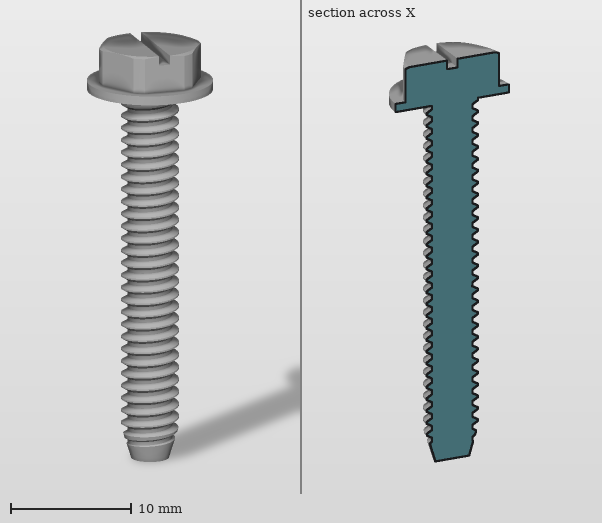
import cadquery as cq
import math

total_length = 35.59
head_height = 3.84
flange_diameter = 10.52
flange_thickness = 0.77
hex_across_flats = 7.94
hex_corner_diameter = 8.66
hex_top_diameter = 7.9
hex_chamfer_angle = 18.0
slot_width = 0.95
slot_depth = 0.77

shank_length = total_length - head_height
major_diameter = 4.83
minor_diameter = 3.76
thread_pitch = 25.4 / 24
thread_angle = 60.0
crest_width = thread_pitch / 8
crest_depth_below_flange = 0.91
end_allowance = 4.0
root_overlap = 0.15
tip_diameter = 3.16
tip_half_angle = 17.2


def make_flange():
    return cq.Workplane("XY").circle(flange_diameter / 2).extrude(flange_thickness)


def make_hex():
    """Hexagon with flats facing +X and -X, rounded corners and a chamfered top."""
    sharp_corner_diameter = hex_across_flats / math.cos(math.pi / 6)
    hexagon = (
        cq.Workplane("XY")
        .polygon(6, sharp_corner_diameter)
        .extrude(head_height)
        .rotate((0, 0, 0), (0, 0, 1), 30)
    )
    corner_limit = cq.Workplane("XY").circle(hex_corner_diameter / 2).extrude(head_height)
    chamfer_run = (sharp_corner_diameter - hex_top_diameter) / 2
    chamfer_drop = chamfer_run * math.tan(math.radians(hex_chamfer_angle))
    chamfer_envelope = (
        cq.Workplane("XZ")
        .moveTo(0, 0)
        .lineTo(sharp_corner_diameter / 2, 0)
        .lineTo(sharp_corner_diameter / 2, head_height - chamfer_drop)
        .lineTo(hex_top_diameter / 2, head_height)
        .lineTo(0, head_height)
        .close()
        .revolve(360, (0, 0, 0), (0, 1, 0))
    )
    return hexagon.intersect(corner_limit).intersect(chamfer_envelope)


def make_slot():
    return (
        cq.Workplane("XY")
        .workplane(offset=head_height - slot_depth)
        .rect(flange_diameter, slot_width)
        .extrude(slot_depth)
    )


def make_thread_ridge():
    """Helical ridge running from below the tip up into the flange."""
    turns_below_crest = math.ceil((shank_length - crest_depth_below_flange) / thread_pitch) + 1
    start_z = -crest_depth_below_flange - turns_below_crest * thread_pitch
    turns = turns_below_crest + 1
    root_radius = minor_diameter / 2 - root_overlap
    crest_radius = major_diameter / 2
    half_crest = crest_width / 2
    half_root = half_crest + (crest_radius - root_radius) * math.tan(math.radians(thread_angle / 2))
    helix = cq.Wire.makeHelix(thread_pitch, turns * thread_pitch, crest_radius).translate(
        cq.Vector(0, 0, start_z)
    )
    return (
        cq.Workplane("XZ")
        .moveTo(root_radius, start_z - half_root)
        .lineTo(crest_radius, start_z - half_crest)
        .lineTo(crest_radius, start_z + half_crest)
        .lineTo(root_radius, start_z + half_root)
        .close()
        .sweep(cq.Workplane(obj=helix), isFrenet=True)
    )


def make_shank_envelope():
    """Outer limit of the shank: a cylinder over the crests with a tapered tip."""
    envelope_radius = major_diameter / 2 + crest_width
    envelope_top = flange_thickness / 2
    taper_length = (envelope_radius - tip_diameter / 2) / math.tan(math.radians(tip_half_angle))
    return (
        cq.Workplane("XZ")
        .moveTo(0, -shank_length)
        .lineTo(tip_diameter / 2, -shank_length)
        .lineTo(envelope_radius, -shank_length + taper_length)
        .lineTo(envelope_radius, envelope_top)
        .lineTo(0, envelope_top)
        .close()
        .revolve(360, (0, 0, 0), (0, 1, 0))
    )


def make_shank():
    """Core and ridge, both made overlong, joined and then trimmed to the tapered envelope."""
    core_bottom = -shank_length - end_allowance
    core = (
        cq.Workplane("XY")
        .workplane(offset=core_bottom)
        .circle(minor_diameter / 2)
        .extrude(head_height - core_bottom)
    )
    threaded_rod = core.union(make_thread_ridge(), clean=False)
    return threaded_rod.intersect(make_shank_envelope(), clean=False)


head = make_flange().union(make_hex()).cut(make_slot())
result = head.union(make_shank(), clean=False)